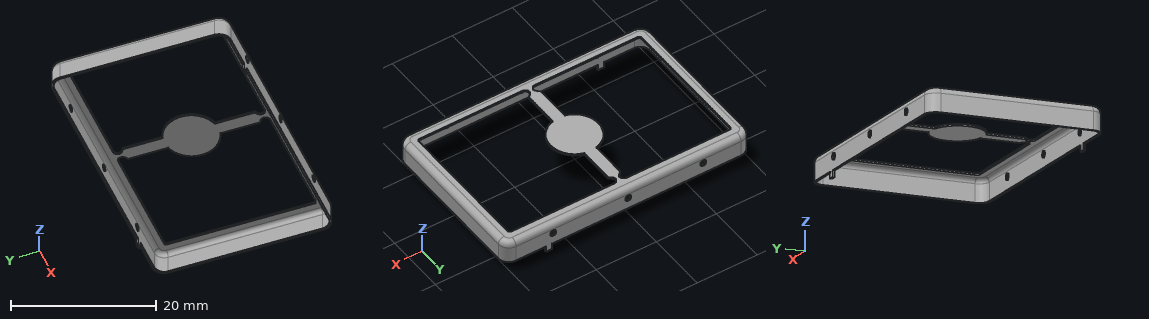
import cadquery as cq
import math

length = 41.0
width = 26.4
total_height = 4.7
tab_height = 1.0
shell_height = total_height - tab_height
sheet = 0.3
corner_radius = 1.75
top_edge_radius = 1.0

rim_width = 1.95
window_corner_radius = 0.33
window_length = length - 2 * rim_width
window_width = width - 2 * rim_width

pad_diameter = 8.0
spoke_width = 2.05
neck_width = 0.7
notch_radius = 0.65
shoulder_angle = 35.0

hole_diameter = 1.0
hole_spacing = 12.5
hole_depth_from_top = 1.8
tab_width = 1.0
tab_offset = 13.2


def rounded_block(block_length, block_width, height, side_radius, top_radius):
    """Block standing on Z = 0 with rounded upright corners and top edge."""
    block = cq.Workplane("XY").box(block_length, block_width, height, centered=(True, True, False))
    return block.edges("|Z").fillet(side_radius).faces(">Z").edges().fillet(top_radius)


def make_shell():
    outside = rounded_block(length, width, shell_height, corner_radius, top_edge_radius)
    inside = rounded_block(
        length - 2 * sheet,
        width - 2 * sheet,
        shell_height - sheet,
        corner_radius - sheet,
        top_edge_radius - sheet,
    )
    return outside.cut(inside)


def make_notch(base, x_sign, y_sign):
    """Round notch touching the rim, opening out along a sloped spoke shoulder."""
    center_x = neck_width / 2 + notch_radius
    center_y = window_width / 2 - notch_radius
    slope = math.radians(shoulder_angle)
    tangent_x = center_x - notch_radius * math.sin(slope)
    tangent_y = center_y - notch_radius * math.cos(slope)
    shoulder_x = spoke_width / 2
    shoulder_y = tangent_y - (shoulder_x - tangent_x) * math.tan(slope)

    def place(x, y):
        return (x_sign * x, y_sign * y)

    notch = base.moveTo(*place(shoulder_x, center_y + notch_radius))
    notch = notch.lineTo(*place(center_x, center_y + notch_radius))
    notch = notch.threePointArc(place(center_x - notch_radius, center_y), place(tangent_x, tangent_y))
    return notch.lineTo(*place(shoulder_x, shoulder_y)).close().extrude(sheet)


def make_window():
    """Cutter for the window, leaving the pad and its spokes standing."""
    base = cq.Workplane("XY").workplane(offset=shell_height - sheet)
    opening = base.rect(window_length, window_width).extrude(sheet)
    opening = opening.edges("|Z").fillet(window_corner_radius)
    pad = base.circle(pad_diameter / 2).extrude(sheet)
    spokes = base.rect(spoke_width, window_width).extrude(sheet)

    cutter = opening.cut(pad).cut(spokes)
    for y_sign in (-1, 1):
        for x_sign in (-1, 1):
            cutter = cutter.union(make_notch(base, x_sign, y_sign))
    return cutter


def make_side_holes():
    holes = cq.Workplane("XZ", origin=(0, 0, shell_height - hole_depth_from_top))
    holes = holes.rarray(hole_spacing, 0.4, 3, 1).circle(hole_diameter / 2)
    return holes.extrude(width / 2, both=True)


def make_tabs():
    """Two diagonally opposite tabs continuing the long walls downward."""
    tab_y = (width - sheet) / 2
    tabs = cq.Workplane("XY").pushPoints([(-tab_offset, -tab_y), (tab_offset, tab_y)])
    return tabs.rect(tab_width, sheet).extrude(-tab_height)


result = make_shell().cut(make_window()).cut(make_side_holes()).union(make_tabs())